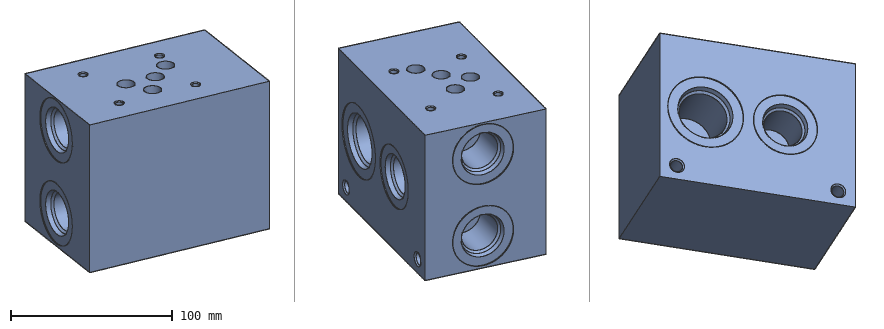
import cadquery as cq
import math

LENGTH_X = 82.5
LENGTH_Y = 127
LENGTH_Z = 101.6

SEAT_DEPTH = 0.8
MOUTH_DEPTH = 3.2
MOUTH_TAPER = math.radians(15)
SMALL_PORT = {"seat": 41.4, "mouth": 29.2, "bore": 24.6, "depth": 30.5}
LARGE_PORT = {"seat": 49.0, "mouth": 35.7, "bore": 31.0, "depth": 38.1}
FRONT_PORT_X = 39.6
FRONT_PORT_HEIGHTS = (22.4, 79.5)
SIDE_PORT_Z = LENGTH_Z / 2
PRESSURE_PORT_Y = 45.3
TANK_PORT_Y = 97.2

DRILL_POINT_ANGLE = math.radians(118)
SIDE_HOLE = {"rim": 9.7, "bore": 7.7, "depth": 19}
SIDE_HOLE_INSET = 11.2
SIDE_HOLE_Z = 9.7
VALVE_SCREW = {"rim": 6.2, "bore": 5.0, "depth": 15.2}

SCREW_PITCH_X = 46.0
SCREW_PITCH_Y = 54.0
PATTERN_X = 64.3
PATTERN_Y = 31.0
VALVE_PORT_DIAMETER = 11.2
VALVE_PORT_DEPTH = 22.9
VALVE_PORT_OFFSETS = ((-21.5, 16.6), (-6.4, 27.0), (-21.5, 37.3), (-32.5, 50.8))


def revolved_cutter(profile, point, direction):
    """Turn (radius, depth) points around an axis that enters the block at point."""
    plane = cq.Plane(origin=point, normal=direction)
    outline = cq.Workplane("XY").polyline(profile).close()
    turned = outline.revolve(360, (0, 0), (0, 1)).rotate((0, 0, 0), (1, 0, 0), 90)
    return turned.val().moved(cq.Location(plane))


def port_cutter(port, point, direction):
    mouth = port["mouth"] / 2
    bore = port["bore"] / 2
    mouth_end = SEAT_DEPTH + MOUTH_DEPTH
    mouth_end_radius = mouth - MOUTH_DEPTH * math.tan(MOUTH_TAPER)
    bevel_end = mouth_end + mouth_end_radius - bore
    profile = [
        (0, 0),
        (port["seat"] / 2, 0),
        (port["seat"] / 2, SEAT_DEPTH),
        (mouth, SEAT_DEPTH),
        (mouth_end_radius, mouth_end),
        (bore, bevel_end),
        (bore, port["depth"]),
        (0, port["depth"]),
    ]
    return revolved_cutter(profile, point, direction)


def tapped_hole_cutter(hole, point, direction):
    rim = hole["rim"] / 2
    bore = hole["bore"] / 2
    point_length = bore / math.tan(DRILL_POINT_ANGLE / 2)
    profile = [
        (0, 0),
        (rim, 0),
        (bore, rim - bore),
        (bore, hole["depth"]),
        (0, hole["depth"] + point_length),
    ]
    return revolved_cutter(profile, point, direction)


INTO_FRONT = (0, 1, 0)
INTO_SIDE = (1, 0, 0)
INTO_TOP = (0, 0, -1)

block = cq.Workplane("XY").box(LENGTH_X, LENGTH_Y, LENGTH_Z, centered=False)
cutters = []

for height in FRONT_PORT_HEIGHTS:
    cutters.append(port_cutter(SMALL_PORT, (FRONT_PORT_X, 0, height), INTO_FRONT))

cutters.append(port_cutter(SMALL_PORT, (0, PRESSURE_PORT_Y, SIDE_PORT_Z), INTO_SIDE))
cutters.append(port_cutter(LARGE_PORT, (0, TANK_PORT_Y, SIDE_PORT_Z), INTO_SIDE))

for y in (SIDE_HOLE_INSET, LENGTH_Y - SIDE_HOLE_INSET):
    cutters.append(tapped_hole_cutter(SIDE_HOLE, (0, y, SIDE_HOLE_Z), INTO_SIDE))

for x in (PATTERN_X - SCREW_PITCH_X, PATTERN_X):
    for y in (PATTERN_Y, PATTERN_Y + SCREW_PITCH_Y):
        cutters.append(tapped_hole_cutter(VALVE_SCREW, (x, y, LENGTH_Z), INTO_TOP))

for offset_x, offset_y in VALVE_PORT_OFFSETS:
    entry = cq.Vector(PATTERN_X + offset_x, PATTERN_Y + offset_y, LENGTH_Z)
    cutters.append(
        cq.Solid.makeCylinder(VALVE_PORT_DIAMETER / 2, VALVE_PORT_DEPTH, entry, cq.Vector(INTO_TOP))
    )

for cutter in cutters:
    block = block.cut(cq.Workplane(cutter))

result = block